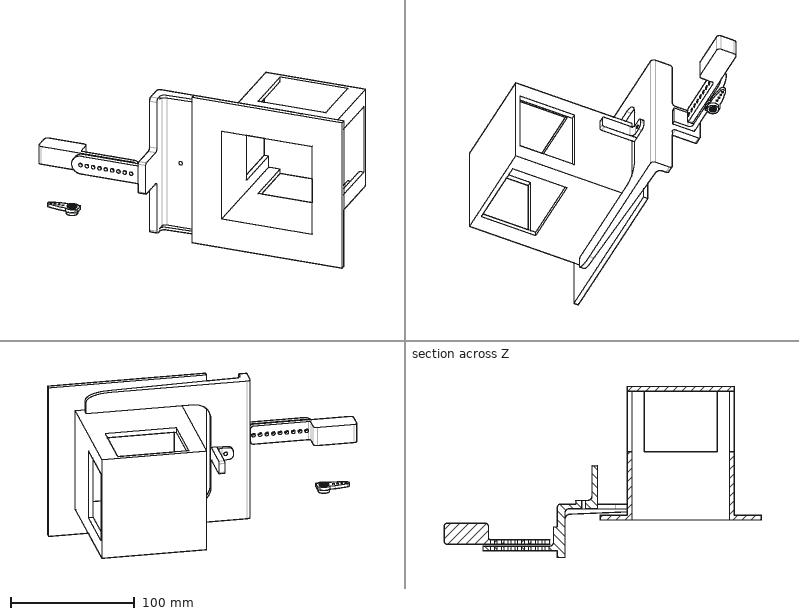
import cadquery as cq
import math

OVERALL_LENGTH = 256.71
OVERALL_DEPTH = 138.41
MARGIN = 1.0

PLATE_SIZE = 130.57
PLATE_THICKNESS = 4.0
BOX_SIZE = 86.7
WALL = 4.0
HOUSING_DEPTH = 108.1
OPENING_SIZE = BOX_SIZE - 2 * WALL
WINDOW_WIDTH = 58.7
WINDOW_DEPTH = 48.7

BRACKET_LEFT = -100.0
BRACKET_HEIGHT = 121.0
BRACKET_Z = 0.3
FORK_FRONT = 9.0
FORK_THICKNESS = 4.0
FORK_BACK = FORK_FRONT + FORK_THICKNESS
FORK_RIGHT = 36.2
FORK_TIP_LENGTH = 19.0
FORK_TIP_DROP = 7.0
SLOT_LEFT = -67.2
SLOT_CLEARANCE = 0.5
SLOT_HEIGHT = BOX_SIZE + 2 * SLOT_CLEARANCE
SLOT_CORNER_RADIUS = 14.5

BAR_THICKNESS = 6.5
BAR_RIGHT = BRACKET_LEFT + BAR_THICKNESS
BAR_FRONT = -5.4
BAR_CORNER_RADIUS = 2.7
BEND_OUTER_RADIUS = 3.0
BEND_INNER_RADIUS = 3.0
TAB_FRONT = HOUSING_DEPTH - OVERALL_DEPTH
TAB_HEIGHT = 28.0
TAB_CORNER_RADIUS = 1.6

RIB_THICKNESS = 2.5
RIB_DEPTH = 4.5
RIB_BEND_RADIUS = 4.0

ARM_HEIGHT = 16.0
ARM_THICKNESS = 4.0
ARM_FRONT = -25.0
ARM_BACK = ARM_FRONT + ARM_THICKNESS
ARM_LEFT = -160.0
ARM_FOOT_THICKNESS = 3.0
ARM_FOOT_LEFT = BRACKET_LEFT - ARM_FOOT_THICKNESS
ARM_BEND_RADIUS = 3.0
HOLE_COUNT = 9
HOLE_PITCH = 5.5
HOLE_DIAMETER = 3.0
FIRST_HOLE_X = -152.3

LUG_Z = -0.3
LUG_HEIGHT = 11.0
LUG_FOOT_HEIGHT = 10.4
LUG_LEFT = -85.1
LUG_RIGHT = SLOT_LEFT
LUG_LEG_THICKNESS = 4.7
LUG_FOOT_THICKNESS = 3.0
LUG_BACK = 44.0
LUG_BEND_RADIUS = 3.4
LUG_FOOT_CORNER_RADIUS = 4.2
LUG_LEG_CORNER_RADIUS = 1.7

HANDLE_LEFT = PLATE_SIZE / 2 - OVERALL_LENGTH
HANDLE_RIGHT = -105.8
GRIP_LENGTH = 36.0
GRIP_RIGHT = HANDLE_LEFT + GRIP_LENGTH
HANDLE_FRONT = -19.7
GRIP_BACK = -2.4
STRIP_THICKNESS = 3.8
GRIP_CORNER_RADIUS = 2.8
GRIP_FOOT_RADIUS = 1.5
STRIP_TIP_RADIUS = 2.6

HORN_X = -165.3
HORN_Y = -10.4
LEVER_TOP = -45.8
LEVER_THICKNESS = 2.8
LEVER_RING_RADIUS = 5.9
LEVER_HALF_WIDTH = 4.1
LEVER_TAPER_START = -8.9
LEVER_TIP_RADIUS = 2.3
LEVER_TIP_CENTRE = -18.7
HUB_DIAMETER = 9.4
HUB_HEIGHT = 3.0
COLLAR_DIAMETER = 8.0
COLLAR_HEIGHT = 0.7
SPLINE_TEETH = 21
SPLINE_OUTER_RADIUS = 3.0
SPLINE_INNER_RADIUS = 2.6
HORN_HOLE_COUNT = 4
HORN_HOLE_PITCH = 3.45
HORN_HOLE_DIAMETER = 1.5
HORN_FIRST_HOLE = -7.9


def block(x_range, y_range, z_range):
    """Axis-aligned block between the given (low, high) limits."""
    sizes = [high - low for low, high in (x_range, y_range, z_range)]
    corner = (x_range[0], y_range[0], z_range[0])
    return cq.Workplane("XY").box(*sizes, centered=False).translate(corner)


def span(middle, size):
    """Limits of a length centred on a place."""
    return (middle - size / 2, middle + size / 2)


def side_profile(z_middle, height, points):
    """Prism along Z over an outline given in X and Y."""
    sketch = cq.Workplane("XY").workplane(offset=z_middle - height / 2)
    return sketch.polyline(points).close().extrude(height)


def upright_edge(body, x, y, z_middle):
    """The edge along Z that passes through (x, y)."""
    return body.edges("|Z").edges(cq.selectors.NearestToPointSelector((x, y, z_middle)))


def cross_hole_row():
    """Round cutters along Y, in a row along X, through arm and handle."""
    places = [(FIRST_HOLE_X + i * HOLE_PITCH, BRACKET_Z) for i in range(HOLE_COUNT)]
    length = HANDLE_FRONT + STRIP_THICKNESS - ARM_FRONT + 2 * MARGIN
    row = cq.Workplane("XZ", origin=(0, ARM_FRONT - MARGIN, 0)).pushPoints(places)
    return row.circle(HOLE_DIAMETER / 2).extrude(-length)


def make_housing():
    plate = block(span(0, PLATE_SIZE), (0, PLATE_THICKNESS), span(0, PLATE_SIZE))
    box = block(span(0, BOX_SIZE), (0, HOUSING_DEPTH), span(0, BOX_SIZE))
    cavity_back = HOUSING_DEPTH - WALL
    cavity = block(span(0, OPENING_SIZE), (-MARGIN, cavity_back), span(0, OPENING_SIZE))
    window_y = (cavity_back - WINDOW_DEPTH, cavity_back)
    through = span(0, BOX_SIZE + 2 * MARGIN)
    side_windows = block(through, window_y, span(0, WINDOW_WIDTH))
    top_windows = block(span(0, WINDOW_WIDTH), window_y, through)
    return plate.union(box).cut(cavity).cut(side_windows).cut(top_windows)


def tip_trim(side):
    """Cutter that leaves a quarter ellipse on the outer corner of one fork tip."""
    y_range = (FORK_FRONT - MARGIN, FORK_BACK + MARGIN)
    curve_x = FORK_RIGHT - FORK_TIP_LENGTH
    curve_z = BRACKET_Z + side * (BRACKET_HEIGHT / 2 - FORK_TIP_DROP)
    outer_z = curve_z + side * (FORK_TIP_DROP + MARGIN)
    corner = block((curve_x, FORK_RIGHT + MARGIN), y_range, sorted((curve_z, outer_z)))
    curve = cq.Workplane("XZ", origin=(curve_x, y_range[0], curve_z))
    curve = curve.ellipse(FORK_TIP_LENGTH, FORK_TIP_DROP).extrude(y_range[0] - y_range[1])
    return corner.cut(curve)


def make_fork():
    """Fork plate bent into the upright bar, with a slot that clears the box."""
    profile = [
        (BRACKET_LEFT, BAR_FRONT),
        (BAR_RIGHT, BAR_FRONT),
        (BAR_RIGHT, FORK_FRONT),
        (FORK_RIGHT, FORK_FRONT),
        (FORK_RIGHT, FORK_BACK),
        (BRACKET_LEFT, FORK_BACK),
    ]
    fork = side_profile(BRACKET_Z, BRACKET_HEIGHT, profile)
    fork = upright_edge(fork, BRACKET_LEFT, FORK_BACK, BRACKET_Z).fillet(BEND_OUTER_RADIUS)
    fork = upright_edge(fork, BAR_RIGHT, FORK_FRONT, BRACKET_Z).fillet(BEND_INNER_RADIUS)
    fork = fork.faces("<Y").edges("|X").fillet(BAR_CORNER_RADIUS)

    slot_y = (FORK_FRONT - MARGIN, FORK_BACK + MARGIN)
    slot = block((SLOT_LEFT, FORK_RIGHT + MARGIN), slot_y, span(0, SLOT_HEIGHT))
    slot = slot.faces("<X").edges("|Y").fillet(SLOT_CORNER_RADIUS)
    fork = fork.cut(slot)
    for side in (-1, 1):
        fork = fork.cut(tip_trim(side))
    return fork


def make_tab():
    """Tab in front of the bar, with rounded front corners and flared roots."""
    bar_x = (BRACKET_LEFT, BAR_RIGHT)
    flare_size = BAR_CORNER_RADIUS
    tab = block(bar_x, (TAB_FRONT, BAR_FRONT + flare_size), span(BRACKET_Z, TAB_HEIGHT))
    tab = tab.faces("<Y").edges("|X").fillet(TAB_CORNER_RADIUS)
    flare_z = span(BRACKET_Z, TAB_HEIGHT + 2 * flare_size)
    flare = block(bar_x, (BAR_FRONT - flare_size, BAR_FRONT), flare_z)
    for side in (-1, 1):
        scoop = cq.Workplane("YZ", origin=(BRACKET_LEFT, 0, 0))
        scoop = scoop.center(BAR_FRONT - flare_size, BRACKET_Z + side * (TAB_HEIGHT / 2 + flare_size))
        flare = flare.cut(scoop.circle(flare_size).extrude(BAR_THICKNESS))
    return tab.union(flare)


def make_rib(z_middle):
    """Tapered rib in front of the fork plate, rounded into the bar."""
    rib_end = FORK_RIGHT - FORK_TIP_LENGTH
    root_front = FORK_FRONT - RIB_DEPTH
    rib = side_profile(
        z_middle,
        RIB_THICKNESS,
        [
            (BRACKET_LEFT + BEND_OUTER_RADIUS, BAR_FRONT + BAR_CORNER_RADIUS),
            (BAR_RIGHT, BAR_FRONT + BAR_CORNER_RADIUS),
            (BAR_RIGHT, root_front),
            (rib_end, FORK_FRONT),
            (BRACKET_LEFT + BEND_OUTER_RADIUS, FORK_FRONT),
        ],
    )
    return upright_edge(rib, BAR_RIGHT, root_front, z_middle).fillet(RIB_BEND_RADIUS)


def make_arm():
    """Strip with a round free end, bent into a foot on the bar."""
    end_radius = ARM_HEIGHT / 2
    end_centre = ARM_LEFT + end_radius
    arm = side_profile(
        BRACKET_Z,
        ARM_HEIGHT,
        [
            (end_centre, ARM_FRONT),
            (BRACKET_LEFT, ARM_FRONT),
            (BRACKET_LEFT, BAR_FRONT),
            (ARM_FOOT_LEFT, BAR_FRONT),
            (ARM_FOOT_LEFT, ARM_BACK),
            (end_centre, ARM_BACK),
        ],
    )
    arm = upright_edge(arm, ARM_FOOT_LEFT, ARM_BACK, BRACKET_Z).fillet(ARM_BEND_RADIUS)
    end = cq.Workplane("XZ", origin=(end_centre, ARM_FRONT, BRACKET_Z))
    arm = arm.union(end.circle(end_radius).extrude(-ARM_THICKNESS))
    return arm.cut(cross_hole_row())


def make_lug():
    """Upright leg on a slightly narrower foot with rounded corners."""
    leg_left = LUG_RIGHT - LUG_LEG_THICKNESS
    foot_back = FORK_BACK + LUG_FOOT_THICKNESS
    bend_top = foot_back + LUG_BEND_RADIUS + MARGIN
    leg = block((leg_left, LUG_RIGHT), (FORK_BACK, LUG_BACK), span(LUG_Z, LUG_HEIGHT))
    leg = leg.faces(">Y").edges("|X").fillet(LUG_LEG_CORNER_RADIUS)
    foot = side_profile(
        LUG_Z,
        LUG_FOOT_HEIGHT,
        [
            (LUG_LEFT, FORK_BACK),
            (LUG_RIGHT, FORK_BACK),
            (LUG_RIGHT, bend_top),
            (leg_left, bend_top),
            (leg_left, foot_back),
            (LUG_LEFT, foot_back),
        ],
    )
    foot = upright_edge(foot, leg_left, foot_back, LUG_Z).fillet(LUG_BEND_RADIUS)
    foot = foot.faces("<X").edges("|Y").fillet(LUG_FOOT_CORNER_RADIUS)
    return leg.union(foot)


def lug_hole():
    foot_middle = (LUG_LEFT + LUG_RIGHT - LUG_LEG_THICKNESS) / 2
    start = FORK_FRONT - MARGIN
    length = FORK_THICKNESS + LUG_FOOT_THICKNESS + 2 * MARGIN
    hole = cq.Workplane("XZ", origin=(foot_middle, start, LUG_Z))
    return hole.circle(HOLE_DIAMETER / 2).extrude(-length)


def make_bracket():
    bracket = make_fork().union(make_tab())
    for side in (-1, 1):
        bracket = bracket.union(make_rib(BRACKET_Z + side * (BRACKET_HEIGHT - RIB_THICKNESS) / 2))
    return bracket.union(make_arm()).union(make_lug()).cut(lug_hole())


def make_handle():
    strip_back = HANDLE_FRONT + STRIP_THICKNESS
    handle = side_profile(
        BRACKET_Z,
        ARM_HEIGHT,
        [
            (HANDLE_LEFT, HANDLE_FRONT),
            (HANDLE_RIGHT, HANDLE_FRONT),
            (HANDLE_RIGHT, strip_back),
            (GRIP_RIGHT, strip_back),
            (GRIP_RIGHT, GRIP_BACK),
            (HANDLE_LEFT, GRIP_BACK),
        ],
    )
    for x, y in ((HANDLE_LEFT, HANDLE_FRONT), (HANDLE_LEFT, GRIP_BACK), (GRIP_RIGHT, GRIP_BACK)):
        handle = upright_edge(handle, x, y, BRACKET_Z).fillet(GRIP_CORNER_RADIUS)
    handle = upright_edge(handle, GRIP_RIGHT, strip_back, BRACKET_Z).fillet(GRIP_FOOT_RADIUS)
    handle = handle.faces(">X").edges("|Y").fillet(STRIP_TIP_RADIUS)
    return handle.cut(cross_hole_row())


def spline_outline():
    """Pointed-tooth outline of the splined bore: roots and tips in turn."""
    points = []
    for i in range(2 * SPLINE_TEETH):
        radius = SPLINE_INNER_RADIUS if i % 2 else SPLINE_OUTER_RADIUS
        angle = math.pi * i / SPLINE_TEETH
        points.append((radius * math.cos(angle), radius * math.sin(angle)))
    return points


def make_horn():
    """Horn built around its own hub axis, with the lever top at height zero."""
    run = LEVER_TAPER_START - LEVER_TIP_CENTRE
    reach = math.hypot(run, LEVER_HALF_WIDTH)
    tangent_angle = math.atan2(LEVER_HALF_WIDTH, run) + math.acos(LEVER_TIP_RADIUS / reach)
    tangent_x = LEVER_TIP_CENTRE + LEVER_TIP_RADIUS * math.cos(tangent_angle)
    tangent_y = LEVER_TIP_RADIUS * math.sin(tangent_angle)

    lever_plane = cq.Workplane("XY").workplane(offset=-LEVER_THICKNESS)
    lever = (
        lever_plane.moveTo(LEVER_RING_RADIUS, -LEVER_HALF_WIDTH)
        .lineTo(LEVER_RING_RADIUS, LEVER_HALF_WIDTH)
        .lineTo(LEVER_TAPER_START, LEVER_HALF_WIDTH)
        .lineTo(tangent_x, tangent_y)
        .threePointArc((LEVER_TIP_CENTRE - LEVER_TIP_RADIUS, 0), (tangent_x, -tangent_y))
        .lineTo(LEVER_TAPER_START, -LEVER_HALF_WIDTH)
        .close()
        .extrude(LEVER_THICKNESS)
    )
    ring = lever_plane.circle(LEVER_RING_RADIUS).extrude(LEVER_THICKNESS)
    collar = cq.Workplane("XY").circle(COLLAR_DIAMETER / 2).extrude(COLLAR_HEIGHT)
    hub = lever_plane.circle(HUB_DIAMETER / 2).extrude(-HUB_HEIGHT)
    horn = lever.union(ring).union(collar).union(hub)

    hole_places = [(HORN_FIRST_HOLE - i * HORN_HOLE_PITCH, 0) for i in range(HORN_HOLE_COUNT)]
    holes = lever_plane.pushPoints(hole_places).circle(HORN_HOLE_DIAMETER / 2)
    horn = horn.cut(holes.extrude(LEVER_THICKNESS))
    bore_length = HUB_HEIGHT + LEVER_THICKNESS + COLLAR_HEIGHT
    bore = cq.Workplane("XY").workplane(offset=COLLAR_HEIGHT)
    horn = horn.cut(bore.polyline(spline_outline()).close().extrude(-bore_length))
    return horn.translate((HORN_X, HORN_Y, LEVER_TOP))


housing = make_housing()
bracket = make_bracket()
handle = make_handle()
horn = make_horn()
result = cq.Compound.makeCompound([housing.val(), bracket.val(), handle.val(), horn.val()])